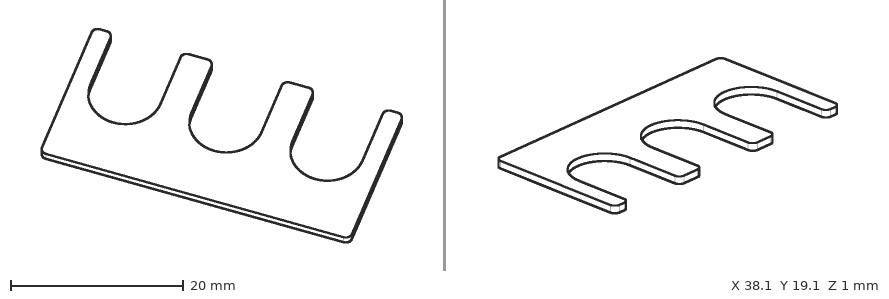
import cadquery as cq

length = 38.1
width = 19.05
thickness = 1.0
corner_radius = 0.75

slot_count = 3
slot_pitch = 12.42
slot_width = 8.6
slot_depth = 12.2


def slot_cutter(center_x):
    """Full-thickness cutter for one slot with a semicircular closed end."""
    radius = slot_width / 2
    open_y = width / 2
    arc_center_y = open_y - slot_depth + radius
    return (
        cq.Workplane("XY")
        .moveTo(center_x - radius, open_y)
        .lineTo(center_x - radius, arc_center_y)
        .threePointArc((center_x, open_y - slot_depth), (center_x + radius, arc_center_y))
        .lineTo(center_x + radius, open_y)
        .close()
        .extrude(thickness)
    )


plate = cq.Workplane("XY").box(length, width, thickness, centered=(True, True, False))
for index in range(slot_count):
    slot_x = (index - (slot_count - 1) / 2) * slot_pitch
    plate = plate.cut(slot_cutter(slot_x))

plate = plate.faces(">Y").edges("|Z").fillet(corner_radius)
result = plate.faces("<Y").edges("|Z").fillet(corner_radius)